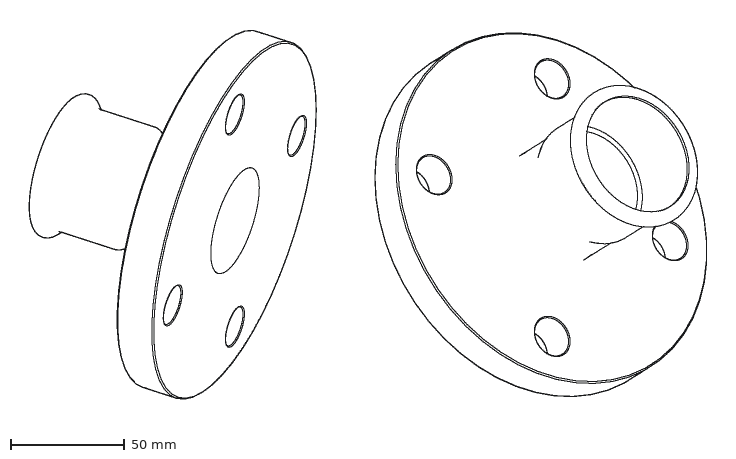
import cadquery as cq
import math

overall_length = 86.0
flange_diameter = 165
flange_thickness = 18.0
edge_chamfer = 0.7
bolt_circle_diameter = 125.0
bolt_hole_diameter = 18.0
bolt_hole_chamfer = 0.5
bolt_count = 4

neck_radius = 54.0 / 2
socket_radius = 57.0 / 2
bore_radius = 24.5
mouth_radius = 27.2
socket_wall = 1.5
root_fillet = 0.5

bead_radius = 3.0
bead_outer_radius = 33.2
bead_angle = math.radians(45)
bead_blend_radius = 2.0

step_start = 36.8
step_angle = math.radians(28)
step_blend_radius = 2.3

flange_start = overall_length - flange_thickness


def on_arc(center, radius, angle):
    """Point on a circle, with the angle measured from the outward radial direction toward +X."""
    return (center[0] + radius * math.sin(angle), center[1] + radius * math.cos(angle))


def cone_length(drop, angle):
    return drop / math.tan(angle)


def make_pipe():
    bead_center = (bead_radius, bead_outer_radius - bead_radius)
    bead_end = on_arc(bead_center, bead_radius, bead_angle)

    blend_center_radius = socket_radius + bead_blend_radius
    cone_end_radius = blend_center_radius - bead_blend_radius * math.cos(bead_angle)
    cone_end_x = bead_end[0] + cone_length(bead_end[1] - cone_end_radius, bead_angle)
    blend_center = (cone_end_x + bead_blend_radius * math.sin(bead_angle), blend_center_radius)

    step_top_center = (step_start, socket_radius - step_blend_radius)
    step_top_end = on_arc(step_top_center, step_blend_radius, step_angle)
    step_base_radius = neck_radius + step_blend_radius * (1 - math.cos(step_angle))
    step_base_x = step_top_end[0] + cone_length(step_top_end[1] - step_base_radius, step_angle)
    step_base_center = (
        step_base_x + step_blend_radius * math.sin(step_angle),
        neck_radius + step_blend_radius,
    )

    root_center = (flange_start - root_fillet, neck_radius + root_fillet)

    socket_bore_radius = socket_radius - socket_wall
    groove_radius = bead_radius - socket_wall
    groove_blend_radius = bead_blend_radius + socket_wall

    profile = (
        cq.Workplane("XY")
        .moveTo(0, mouth_radius)
        .lineTo(0, bead_center[1])
        .threePointArc(on_arc(bead_center, bead_radius, 0), bead_end)
        .lineTo(cone_end_x, cone_end_radius)
        .threePointArc(
            on_arc(blend_center, -bead_blend_radius, bead_angle / 2),
            (blend_center[0], socket_radius),
        )
        .lineTo(step_start, socket_radius)
        .threePointArc(on_arc(step_top_center, step_blend_radius, step_angle / 2), step_top_end)
        .lineTo(step_base_x, step_base_radius)
        .threePointArc(
            on_arc(step_base_center, -step_blend_radius, step_angle / 2),
            (step_base_center[0], neck_radius),
        )
        .lineTo(flange_start - root_fillet, neck_radius)
        .threePointArc(
            on_arc(root_center, -root_fillet, -math.pi / 4),
            (flange_start, neck_radius + root_fillet),
        )
        .lineTo(flange_start, neck_radius)
        .lineTo(overall_length, neck_radius)
        .lineTo(overall_length, bore_radius)
        .lineTo(step_start, bore_radius)
        .lineTo(step_start, socket_bore_radius)
        .lineTo(blend_center[0], socket_bore_radius)
        .threePointArc(
            on_arc(blend_center, -groove_blend_radius, bead_angle / 2),
            on_arc(blend_center, -groove_blend_radius, bead_angle),
        )
        .lineTo(*on_arc(bead_center, groove_radius, bead_angle))
        .threePointArc(
            on_arc(bead_center, groove_radius, 0),
            on_arc(bead_center, groove_radius, -math.pi / 2),
        )
        .lineTo(socket_wall, mouth_radius)
        .close()
    )
    return profile.revolve(360, (0, 0, 0), (1, 0, 0))


def make_bolt_hole():
    """Cutter for one bolt hole on the pipe axis, chamfered at both flange faces."""
    hole_radius = bolt_hole_diameter / 2
    mouth = hole_radius + bolt_hole_chamfer
    outline = cq.Workplane("XY").polyline([
        (flange_start, 0),
        (flange_start, mouth),
        (flange_start + bolt_hole_chamfer, hole_radius),
        (overall_length - bolt_hole_chamfer, hole_radius),
        (overall_length, mouth),
        (overall_length, 0),
    ])
    return outline.close().revolve(360, (0, 0, 0), (1, 0, 0))


def make_flange():
    flange = (
        cq.Workplane("YZ", origin=(flange_start, 0, 0))
        .circle(flange_diameter / 2)
        .extrude(flange_thickness)
        .edges()
        .chamfer(edge_chamfer)
    )
    bolt_hole = make_bolt_hole().translate((0, 0, bolt_circle_diameter / 2))
    for index in range(bolt_count):
        angle = index * 360 / bolt_count
        flange = flange.cut(bolt_hole.rotate((0, 0, 0), (1, 0, 0), angle))
    pipe_seat = cq.Workplane("YZ", origin=(flange_start, 0, 0)).circle(neck_radius)
    return flange.cut(pipe_seat.extrude(flange_thickness))


result = make_flange().union(make_pipe())